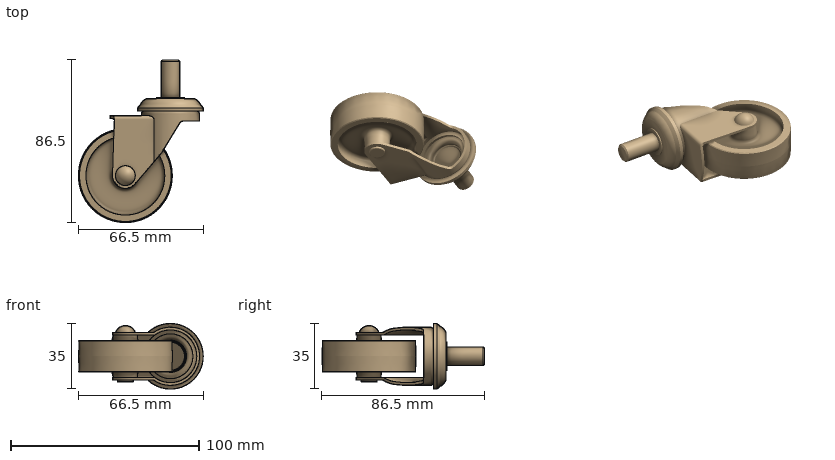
import cadquery as cq
import math


WHEEL_X = -24.0
WHEEL_RADIUS = 25.0
WHEEL_HALF_WIDTH = 8.5
TREAD_DRAFT = 0.2
TREAD_CHAMFER = 0.4
RIM_INNER_RADIUS = 42.0 / 2
WEB_HALF_THICKNESS = 2.8
WEB_FILLET = 1.9
HUB_BASE_RADIUS = 7.0
HUB_END_RADIUS = 6.4

SHEET = 1.5
ARM_OUTER_Z = 12.7
ARM_INNER_Z = ARM_OUTER_Z - SHEET
BEND_RADIUS = 2.1
ARM_END_RADIUS = 6.8
BRIDGE_TOP_Y = 31.85
BRIDGE_EDGE_X = -29.85
BRIDGE_BULGE = 2.3
CUP_RADIUS = 31.0 / 2
CUP_INNER_RADIUS = CUP_RADIUS - SHEET
CUP_TOP_Y = 34.3
CUP_RIM_Y = 29.0
SLOPE_TOP_X = 5.6
SLOPE_KNEE = (-4.6, 12.2)
SLOPE_TOP_FILLET = 2.6
SLOPE_KNEE_FILLET = 17.3

HEAD_RADIUS = 17.5
HEAD_SHOULDER_Y = 36.1
HEAD_SHOULDER_BREAK = (16.7, 37.0)
HEAD_BREAK = (16.0, 37.8)
HEAD_TOP_RADIUS = 12.55
HEAD_TOP_Y = 41.0
HEAD_CROWN = 0.6
COLLAR_RADIUS = 15.0 / 2
COLLAR_TOP_Y = 41.5
STEM_RADIUS = 10.0 / 2
OVERALL_LENGTH = 86.5
STEM_TOP_Y = OVERALL_LENGTH - WHEEL_RADIUS
STEM_CHAMFER = 0.8

FLOOR_HOLE_RADIUS = 11.9
RECESS_RADIUS = 10.6
RECESS_WALL_RADIUS = 8.6
RECESS_FLOOR_RADIUS = 16.2 / 2
RECESS_DEPTH = 3.0
RECESS_FLOOR_Y = CUP_TOP_Y + RECESS_DEPTH
DIMPLE_DEPTH = 0.4

AXLE_RADIUS = 8.6 / 2
AXLE_END_RADIUS = 8.0 / 2
AXLE_END_Z = -13.8
DOME_RADIUS = 5.3
DOME_TOP_Z = 16.35


def stem_disc(radius, y_low, y_high):
    """Cylinder on the stem axis between two heights."""
    return cq.Workplane("XZ", origin=(0, y_low, 0)).circle(radius).extrude(y_low - y_high)


def axle_disc(radius, z_low, z_high):
    """Cylinder on the wheel axis between two levels."""
    return cq.Workplane("XY", origin=(WHEEL_X, 0, z_low)).circle(radius).extrude(z_high - z_low)


def make_wheel():
    """Drafted tread, recessed web on both sides and a tapered hub, bored for the axle."""
    edge_radius = WHEEL_RADIUS - TREAD_DRAFT
    half = (
        cq.Workplane("XZ")
        .moveTo(AXLE_RADIUS, 0)
        .lineTo(WHEEL_RADIUS, 0)
        .lineTo(edge_radius, WHEEL_HALF_WIDTH - TREAD_CHAMFER)
        .lineTo(edge_radius - TREAD_CHAMFER, WHEEL_HALF_WIDTH)
        .lineTo(RIM_INNER_RADIUS, WHEEL_HALF_WIDTH)
        .lineTo(RIM_INNER_RADIUS, WEB_HALF_THICKNESS + WEB_FILLET)
        .radiusArc((RIM_INNER_RADIUS - WEB_FILLET, WEB_HALF_THICKNESS), WEB_FILLET)
        .lineTo(HUB_BASE_RADIUS + WEB_FILLET, WEB_HALF_THICKNESS)
        .radiusArc((HUB_BASE_RADIUS, WEB_HALF_THICKNESS + WEB_FILLET), WEB_FILLET)
        .lineTo(HUB_END_RADIUS, ARM_INNER_Z)
        .lineTo(AXLE_RADIUS, ARM_INNER_Z)
        .close()
        .revolve(360, (0, 0, 0), (0, 1, 0))
    )
    return half.union(half.mirror("XY")).translate((WHEEL_X, 0, 0)).solids()


def side_outline():
    """Fork outline seen along the wheel axis, as a block across the whole width."""
    knee_dx = SLOPE_KNEE[0] - WHEEL_X
    knee_dy = SLOPE_KNEE[1]
    knee_distance = math.hypot(knee_dx, knee_dy)
    slope = math.atan2(knee_dy, knee_dx) + math.asin(ARM_END_RADIUS / knee_distance)
    tangent = (WHEEL_X + ARM_END_RADIUS * math.sin(slope), -ARM_END_RADIUS * math.cos(slope))
    block = (
        cq.Workplane("XY", origin=(0, 0, -HEAD_RADIUS))
        .moveTo(BRIDGE_EDGE_X - BRIDGE_BULGE, CUP_TOP_Y)
        .lineTo(CUP_RADIUS, CUP_TOP_Y)
        .lineTo(CUP_RADIUS, CUP_RIM_Y)
        .lineTo(SLOPE_TOP_X, CUP_RIM_Y)
        .lineTo(*SLOPE_KNEE)
        .lineTo(*tangent)
        .threePointArc((WHEEL_X, -ARM_END_RADIUS), (WHEEL_X - ARM_END_RADIUS, 0))
        .lineTo(BRIDGE_EDGE_X, BRIDGE_TOP_Y - BEND_RADIUS)
        .lineTo(BRIDGE_EDGE_X - BRIDGE_BULGE, BRIDGE_TOP_Y - BEND_RADIUS)
        .close()
        .extrude(2 * HEAD_RADIUS)
    )
    top_corner = cq.selectors.NearestToPointSelector((SLOPE_TOP_X, CUP_RIM_Y, 0))
    knee_corner = cq.selectors.NearestToPointSelector((*SLOPE_KNEE, 0))
    block = block.edges("|Z").edges(top_corner).fillet(SLOPE_TOP_FILLET)
    return block.edges("|Z").edges(knee_corner).fillet(SLOPE_KNEE_FILLET)


def channel(half_width, top_y, bend_radius):
    """Block from the stem axis past the bridge edge, with rounded upper side edges."""
    bottom_y = -ARM_END_RADIUS
    return (
        cq.Workplane("XY")
        .box(-2 * BRIDGE_EDGE_X, top_y - bottom_y, 2 * half_width)
        .translate((BRIDGE_EDGE_X, (top_y + bottom_y) / 2, 0))
        .edges("|X and >Y")
        .fillet(bend_radius)
    )


def bridge_outline():
    """Bridge outline seen along the stem axis, its free edge bulging, as a block."""
    return (
        cq.Workplane("XZ", origin=(0, BRIDGE_TOP_Y, 0))
        .moveTo(0, ARM_OUTER_Z)
        .lineTo(BRIDGE_EDGE_X, ARM_OUTER_Z)
        .threePointArc((BRIDGE_EDGE_X - BRIDGE_BULGE, 0), (BRIDGE_EDGE_X, -ARM_OUTER_Z))
        .lineTo(0, -ARM_OUTER_Z)
        .close()
        .extrude(BEND_RADIUS)
    )


def make_fork():
    """U-shaped arms and bridge running into a round cup, trimmed to the side outline."""
    inner_bend = BEND_RADIUS - SHEET
    arms = channel(ARM_OUTER_Z, BRIDGE_TOP_Y, BEND_RADIUS)
    arms = arms.cut(channel(ARM_INNER_Z, BRIDGE_TOP_Y - SHEET, inner_bend))
    beyond_edge = (
        cq.Workplane("XY")
        .box(-BRIDGE_EDGE_X, BEND_RADIUS, 2 * ARM_OUTER_Z)
        .translate((BRIDGE_EDGE_X + BRIDGE_EDGE_X / 2, BRIDGE_TOP_Y - BEND_RADIUS / 2, 0))
    )
    arms = arms.cut(beyond_edge.cut(bridge_outline()))
    shell_bottom = -ARM_END_RADIUS
    cup = stem_disc(CUP_RADIUS, shell_bottom, CUP_TOP_Y).faces(">Y").edges().fillet(SHEET)
    open_x = -math.sqrt(CUP_RADIUS**2 - ARM_OUTER_Z**2)
    opening_height = BRIDGE_TOP_Y - SHEET - shell_bottom
    opening = (
        cq.Workplane("XY")
        .box(HEAD_RADIUS, opening_height, 2 * ARM_OUTER_Z)
        .translate((open_x - HEAD_RADIUS / 2, shell_bottom + opening_height / 2, 0))
    )
    gap = (
        cq.Workplane("XY")
        .box(HEAD_RADIUS, opening_height, 2 * ARM_INNER_Z)
        .translate((-HEAD_RADIUS / 2, shell_bottom + opening_height / 2, 0))
    )
    fork = cup.cut(opening).cut(gap).union(arms)
    fork = fork.cut(stem_disc(CUP_INNER_RADIUS, shell_bottom, CUP_TOP_Y - SHEET))
    fork = fork.cut(stem_disc(FLOOR_HOLE_RADIUS, shell_bottom, CUP_TOP_Y))
    return fork.intersect(side_outline())


def make_head():
    """Swivel head with collar and stem, hollowed by a rounded recess below."""
    arc_middle = (
        HEAD_TOP_RADIUS + (HEAD_BREAK[0] - HEAD_TOP_RADIUS) * HEAD_CROWN,
        HEAD_BREAK[1] + (HEAD_TOP_Y - HEAD_BREAK[1]) * HEAD_CROWN,
    )
    lip_radius = RECESS_RADIUS - RECESS_WALL_RADIUS
    return (
        cq.Workplane("XY")
        .moveTo(RECESS_RADIUS, CUP_TOP_Y)
        .lineTo(HEAD_RADIUS, CUP_TOP_Y)
        .lineTo(HEAD_RADIUS, HEAD_SHOULDER_Y)
        .lineTo(*HEAD_SHOULDER_BREAK)
        .lineTo(*HEAD_BREAK)
        .threePointArc(arc_middle, (HEAD_TOP_RADIUS, HEAD_TOP_Y))
        .lineTo(COLLAR_RADIUS, HEAD_TOP_Y)
        .lineTo(COLLAR_RADIUS, COLLAR_TOP_Y)
        .lineTo(STEM_RADIUS, COLLAR_TOP_Y)
        .lineTo(STEM_RADIUS, STEM_TOP_Y - STEM_CHAMFER)
        .lineTo(STEM_RADIUS - STEM_CHAMFER, STEM_TOP_Y)
        .lineTo(0, STEM_TOP_Y)
        .lineTo(0, RECESS_FLOOR_Y + DIMPLE_DEPTH)
        .lineTo(COLLAR_RADIUS, RECESS_FLOOR_Y + DIMPLE_DEPTH)
        .lineTo(RECESS_FLOOR_RADIUS, RECESS_FLOOR_Y)
        .lineTo(RECESS_WALL_RADIUS, RECESS_FLOOR_Y)
        .lineTo(RECESS_WALL_RADIUS, CUP_TOP_Y + lip_radius)
        .radiusArc((RECESS_RADIUS, CUP_TOP_Y), -lip_radius)
        .close()
        .revolve(360, (0, 0, 0), (0, 1, 0))
    )


def make_axle():
    """Rivet through both arms, domed at the top and chamfered at the bottom."""
    chamfer = AXLE_RADIUS - AXLE_END_RADIUS
    shank = axle_disc(AXLE_RADIUS, AXLE_END_Z, ARM_OUTER_Z).faces("<Z").chamfer(chamfer)
    dome_height = DOME_TOP_Z - ARM_OUTER_Z
    ball_radius = (DOME_RADIUS**2 + dome_height**2) / (2 * dome_height)
    ball = cq.Workplane("XY").sphere(ball_radius).translate((WHEEL_X, 0, DOME_TOP_Z - ball_radius))
    dome = ball.intersect(axle_disc(2 * DOME_RADIUS, ARM_OUTER_Z, DOME_TOP_Z + SHEET))
    return shank.union(dome)


wheel = make_wheel()
housing = make_fork().union(make_head()).union(make_axle()).solids()

result = cq.Compound.makeCompound([wheel.val(), housing.val()])